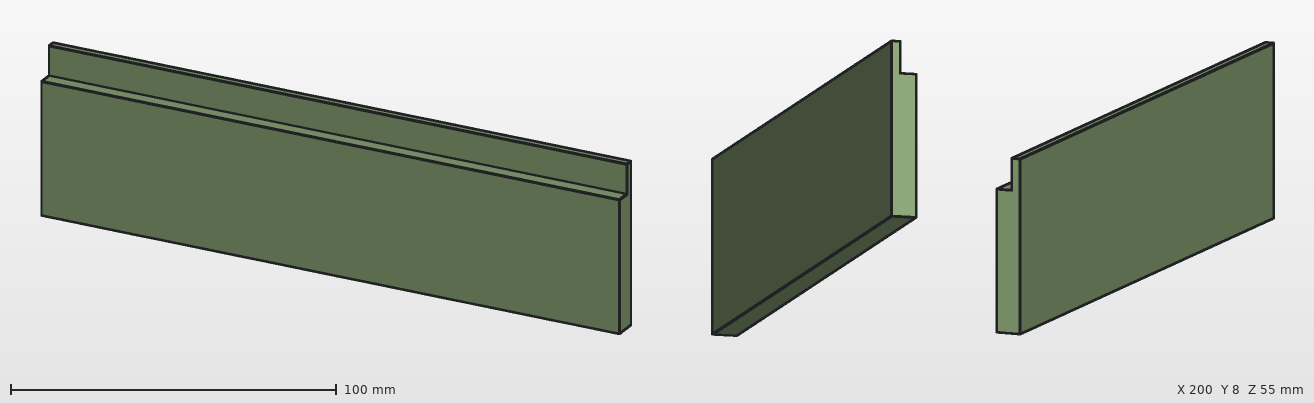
import cadquery as cq

length = 200.0
thickness = 8.0
height = 55.0

lip_thickness = 3.0
lip_height = 10.0
shoulder_height = height - lip_height
lip_front = thickness - lip_thickness

edge_break = 0.2

section = [
    (0, 0),
    (thickness, 0),
    (thickness, height),
    (lip_front, height),
    (lip_front, shoulder_height),
    (0, shoulder_height),
]

plate = cq.Workplane("YZ").polyline(section).close().extrude(length)

inner_corner = cq.selectors.NearestToPointSelector((length / 2, lip_front, shoulder_height))
broken_edges = plate.edges(cq.selectors.InverseSelector(inner_corner))
result = broken_edges.chamfer(edge_break)